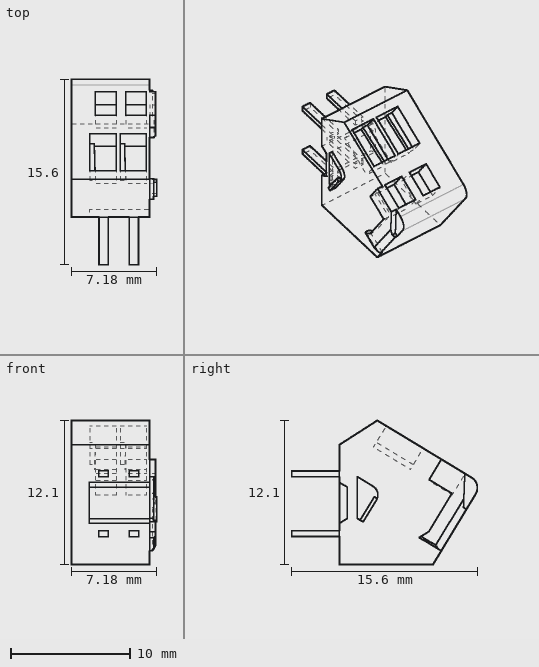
import cadquery as cq
import math


width = 6.58
height = 12.1
tilt = math.radians(31.2)
ridge_y = 3.18
wall_top_z = 10.06
base_depth = 7.86
nose_radius = 1.0

pole_count = 2
pole_pitch = 2.54
first_pole_x = 2.71

pin_width = 0.8
pin_thickness = 0.5
pin_length = 4.0
pin_row_z = (2.59, 7.61)

recess_left_x = 1.51
recess_bottom_z = 3.46
recess_top_z = 6.9
recess_depth = 0.67

pocket_depth = 2.08
pocket_right_offset = 1.05
small_pocket_width = 1.74
small_pocket_start = 1.68
small_pocket_end = 3.97
large_pocket_width = 2.21
large_pocket_start = 5.79
large_pocket_end = 9.41
ledge_depth = 1.6
ledge_width_start = 0.38
ledge_width_end = 0.47

hook_thickness = 0.5
hook_arm_drop = 2.0
hook_stem_width = 1.74
hook_heel_drop = 2.5
hook_heel_ledge = 0.3
hook_flare_drop = 5.74
hook_foot_drop = 6.59
hook_foot_width = 2.18
hook_sole_chamfer = 0.17
hook_back_chamfer_x = 0.3
hook_back_chamfer_depth = 0.65

key_thickness = 0.33
key_front_y = 1.5
key_top_z = 7.37
key_bottom_z = 3.88
key_back_corner_y = 3.54
key_radius = 0.82
rib_reach = 0.6
rib_width = 0.29
rib_length = 2.29

slope = math.tan(tilt)
nose_y = (height + slope * ridge_y + base_depth / slope) / (slope + 1 / slope)
nose_z = (nose_y - base_depth) / slope


def tilted(along, drop, corner=(nose_y, nose_z)):
    """(Y, Z) of a point set out from a corner along the entry face and square into it."""
    y = corner[0] - along * math.cos(tilt) - drop * math.sin(tilt)
    z = corner[1] + along * math.sin(tilt) - drop * math.cos(tilt)
    return (y, z)


def prism(points, x_start, x_end):
    """Solid with a YZ outline, running along X."""
    plane = cq.Workplane("YZ", origin=(x_start, 0, 0))
    return plane.polyline(points).close().extrude(x_end - x_start)


def edge_at(y, z):
    """Selector for the edge along X closest to a YZ point."""
    return cq.selectors.NearestToPointSelector((width, y, z))


def make_housing():
    outline = [(0, 0), (0, wall_top_z), (ridge_y, height), (nose_y, nose_z), (base_depth, 0)]
    housing = prism(outline, 0, width)
    return housing.edges("|X").edges(edge_at(nose_y, nose_z)).fillet(nose_radius)


def make_recess():
    wall_drop = recess_depth * slope
    outline = [
        (0, recess_bottom_z),
        (0, recess_top_z),
        (recess_depth, recess_top_z - wall_drop),
        (recess_depth, recess_bottom_z + wall_drop),
    ]
    return prism(outline, recess_left_x, width)


def make_pocket(start, end, x_left, x_right):
    outline = [
        tilted(start, 0),
        tilted(end, 0),
        tilted(end, pocket_depth),
        tilted(start, pocket_depth),
    ]
    return prism(outline, x_left, x_right)


def make_ledge(x_left):
    """Step left standing in the large pocket, slightly wider towards the ridge."""
    ledge_y, ledge_z = tilted(large_pocket_start, ledge_depth)
    ledge_top = cq.Plane(
        origin=(x_left, ledge_y, ledge_z),
        xDir=(1, 0, 0),
        normal=(0, -math.sin(tilt), -math.cos(tilt)),
    )
    length = large_pocket_end - large_pocket_start
    outline = [(0, 0), (ledge_width_start, 0), (ledge_width_end, length), (0, length)]
    return cq.Workplane(ledge_top).polyline(outline).close().extrude(pocket_depth - ledge_depth)


def make_pole_pockets(pole_x):
    x_right = pole_x + pocket_right_offset
    small_left = x_right - small_pocket_width
    large_left = x_right - large_pocket_width
    small = make_pocket(small_pocket_start, small_pocket_end, small_left, x_right)
    large = make_pocket(large_pocket_start, large_pocket_end, large_left, x_right)
    return small.union(large.cut(make_ledge(large_left)))


def make_pin(pole_x, pin_z):
    return (
        cq.Workplane("XZ", origin=(pole_x, 0, pin_z))
        .rect(pin_width, pin_thickness)
        .extrude(pin_length)
    )


def make_heel_wedge(edge_direction, inward_direction, length, chamfer_x, chamfer_depth):
    """Wedge that bevels an outer edge of the hook, starting at its lower back corner."""
    outer_x = width + hook_thickness
    heel = cq.Vector(outer_x, *tilted(0, hook_foot_drop))
    inner_side = heel + cq.Vector(-chamfer_x, 0, 0)
    inner_depth = heel + cq.Vector(*inward_direction) * chamfer_depth
    wire = cq.Wire.makePolygon([heel, inner_side, inner_depth], close=True)
    run = cq.Vector(*edge_direction) * length
    return cq.Workplane(cq.Solid.extrudeLinear(wire, [], run))


def make_hook():
    outline = [
        tilted(small_pocket_start, 0),
        tilted(small_pocket_end, 0),
        tilted(small_pocket_end, hook_arm_drop),
        tilted(hook_stem_width, hook_arm_drop),
        tilted(hook_stem_width, hook_flare_drop),
        tilted(hook_foot_width, hook_foot_drop),
        tilted(0, hook_foot_drop),
        tilted(0, hook_heel_drop),
        tilted(hook_heel_ledge, hook_heel_drop),
    ]
    hook = prism(outline, width, width + hook_thickness)
    along_entry_face = (0, -math.cos(tilt), math.sin(tilt))
    up_the_back = (0, math.sin(tilt), math.cos(tilt))
    sole_wedge = make_heel_wedge(
        along_entry_face, up_the_back, hook_foot_width, hook_sole_chamfer, hook_sole_chamfer
    )
    back_wedge = make_heel_wedge(
        up_the_back, along_entry_face, hook_foot_drop, hook_back_chamfer_x, hook_back_chamfer_depth
    )
    return hook.cut(sole_wedge).cut(back_wedge)


def make_key():
    back_corner = (key_back_corner_y, key_top_z - slope * (key_back_corner_y - key_front_y))
    back_length = (key_top_z - key_bottom_z) * math.cos(tilt)
    bottom_width = (tilted(0, back_length, back_corner)[0] - key_front_y) / math.cos(tilt)
    outline = [
        back_corner,
        (key_front_y, key_top_z),
        tilted(bottom_width, back_length, back_corner),
        tilted(0, back_length, back_corner),
    ]
    plate = prism(outline, width, width + key_thickness)
    plate = plate.edges("|X").edges(edge_at(*back_corner)).fillet(key_radius)
    rib_start = back_length - rib_length
    rib_outline = [
        tilted(0, rib_start, back_corner),
        tilted(rib_width, rib_start, back_corner),
        tilted(rib_width, back_length, back_corner),
        tilted(0, back_length, back_corner),
    ]
    return plate.union(prism(rib_outline, width, width + rib_reach))


result = make_housing().cut(make_recess())
for pole in range(pole_count):
    pole_x = first_pole_x + pole * pole_pitch
    result = result.cut(make_pole_pockets(pole_x))
    for pin_z in pin_row_z:
        result = result.union(make_pin(pole_x, pin_z))
result = result.union(make_hook()).union(make_key())